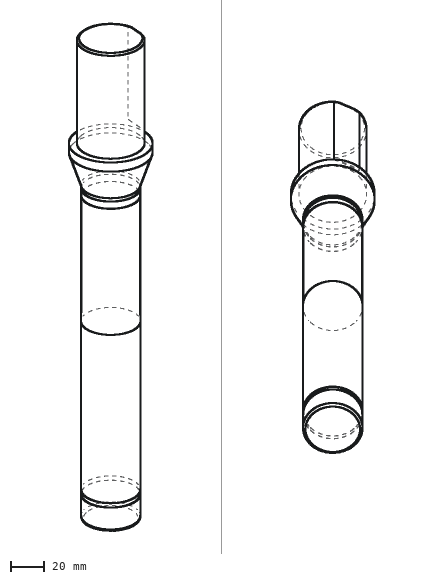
import cadquery as cq
import math

total_length = 320.0

barrel_diameter = 35.2
barrel_top = 131.8
foot_crown_height = 1.0
foot_fillet = 1.5
barrel_groove_bottom = 17.0
barrel_groove_top = 19.8

neck_diameter = 35.0
shank_groove_bottom = 215.7
shank_groove_top = 220.5
cone_bottom = 222.7
collar_bottom = 244.0
collar_top = 250.2
collar_diameter = 49.5
spigot_diameter = 40.0
spigot_chamfer = 1.3

flat_depth = 2.0
flat_bottom = 255.5
flat_runout = 2.0

barrel_radius = barrel_diameter / 2
neck_radius = neck_diameter / 2
collar_radius = collar_diameter / 2
spigot_radius = spigot_diameter / 2


def make_barrel():
    crown_radius = (barrel_radius**2 + foot_crown_height**2) / (2 * foot_crown_height)
    half_angle = math.asin(barrel_radius / crown_radius) / 2
    crown_middle = (
        crown_radius * math.sin(half_angle),
        crown_radius * (1 - math.cos(half_angle)),
    )
    turned = (
        cq.Workplane("XZ")
        .threePointArc(crown_middle, (barrel_radius, foot_crown_height))
        .lineTo(barrel_radius, barrel_groove_bottom)
        .lineTo(neck_radius, barrel_groove_bottom)
        .lineTo(neck_radius, barrel_groove_top)
        .lineTo(barrel_radius, barrel_groove_top)
        .lineTo(barrel_radius, barrel_top)
        .lineTo(0, barrel_top)
        .close()
        .revolve(360, (0, 0), (0, 1))
    )
    return turned.faces("<Z").edges(">Z").fillet(foot_fillet)


def make_flat_cutter():
    flat_y = spigot_radius - flat_depth
    outer_y = flat_y + flat_runout
    return (
        cq.Workplane("YZ")
        .polyline([
            (flat_y, total_length),
            (flat_y, flat_bottom + flat_runout),
            (outer_y, flat_bottom),
            (outer_y, total_length),
        ])
        .close()
        .extrude(spigot_radius, both=True)
    )


def make_shank():
    waist_middle = (neck_radius, (barrel_top + shank_groove_bottom) / 2)
    turned = (
        cq.Workplane("XZ")
        .moveTo(0, barrel_top)
        .lineTo(barrel_radius, barrel_top)
        .threePointArc(waist_middle, (barrel_radius, shank_groove_bottom))
        .lineTo(neck_radius, shank_groove_bottom)
        .lineTo(neck_radius, shank_groove_top)
        .lineTo(barrel_radius, shank_groove_top)
        .lineTo(barrel_radius, cone_bottom)
        .lineTo(collar_radius, collar_bottom)
        .lineTo(collar_radius, collar_top)
        .lineTo(spigot_radius, collar_top)
        .lineTo(spigot_radius, total_length - spigot_chamfer)
        .lineTo(spigot_radius - spigot_chamfer, total_length)
        .lineTo(0, total_length)
        .close()
        .revolve(360, (0, 0), (0, 1))
    )
    return turned.cut(make_flat_cutter())


barrel = make_barrel()
shank = make_shank()

result = cq.Compound.makeCompound([barrel.val(), shank.val()])